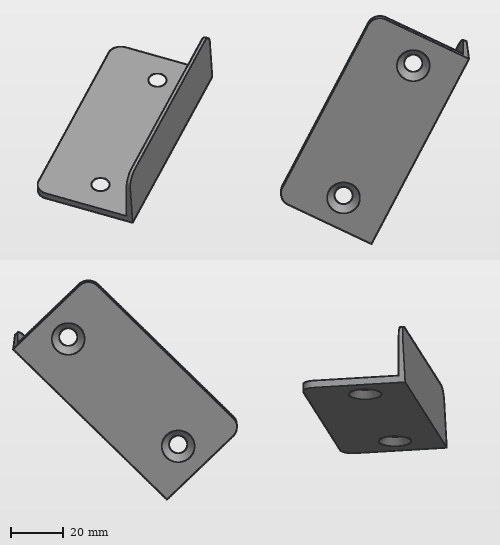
import cadquery as cq

width = 40.8
length = 83.9
height = 23.8
base_thickness = 2.85
wall_foot_thickness = 2.6
wall_tip_thickness = 1.35
base_corner_radius = 5.0
wall_corner_radius = 5.2
hole_diameter = 6.9
sink_diameter = 12.6
hole_spacing = 59.9
hole_x = 22.8

wall_inner_x = width - wall_foot_thickness


def angle_body():
    """L-shaped section with a tapered outer wall face, centred along Y."""
    return (
        cq.Workplane("XZ")
        .polyline([
            (0, 0),
            (width, 0),
            (wall_inner_x + wall_tip_thickness, height),
            (wall_inner_x, height),
            (wall_inner_x, base_thickness),
            (0, base_thickness),
        ])
        .close()
        .extrude(length / 2, both=True)
    )


def base_outline():
    """Prism rounding the two free corners of the base, seen along Z."""
    return (
        cq.Workplane("XY")
        .rect(width, length)
        .extrude(height)
        .translate((width / 2, 0, 0))
        .edges("|Z and <X")
        .fillet(base_corner_radius)
    )


def wall_outline():
    """Prism rounding the two top corners of the wall, seen along X."""
    return (
        cq.Workplane("YZ")
        .rect(length, height)
        .extrude(width)
        .translate((0, 0, height / 2))
        .edges("|X and >Z")
        .fillet(wall_corner_radius)
    )


def mounting_holes():
    """Pair of conical screw holes, widening through the base to its underside."""
    cone = cq.Solid.makeCone(sink_diameter / 2, hole_diameter / 2, base_thickness)
    return (
        cq.Workplane("XY")
        .pushPoints([(hole_x, side * hole_spacing / 2) for side in (-1, 1)])
        .eachpoint(lambda location: cone.located(location))
    )


plate = angle_body().intersect(base_outline()).intersect(wall_outline())
result = plate.cut(mounting_holes())